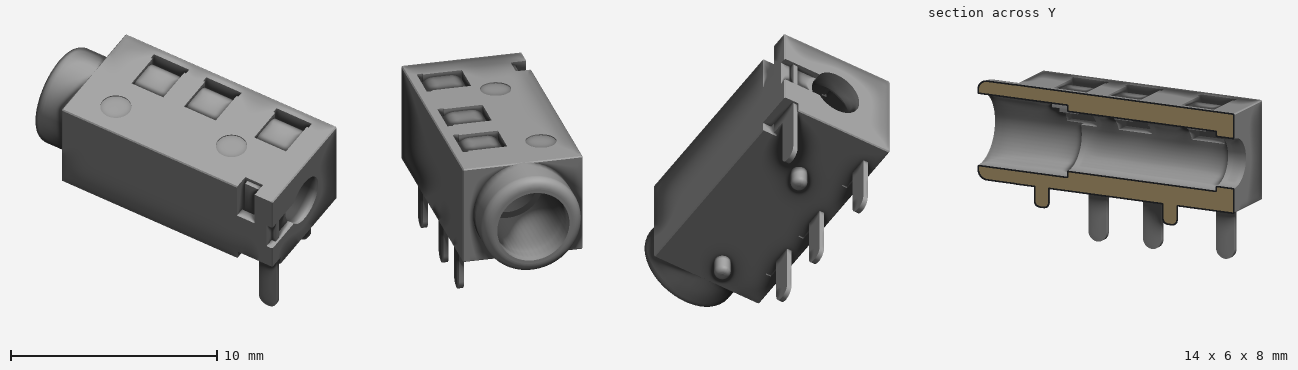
import cadquery as cq


total_length = 14.0
total_height = 8.0
body_start = 2.0
body_width = 6.0
body_height = 5.0
edge_chamfer = 0.05
body_bottom = -body_height / 2
body_top = body_height / 2
body_side = body_width / 2

nose_radius = 2.49
nose_fillet = 0.5
entry_radius = 1.8
entry_depth = 4.9
bore_radius = 1.5
bore_depth = 13.02
exit_radius = 1.25

peg_positions = (3.49, 10.49)
peg_radius = 0.4
peg_length = 1.0
peg_fillet = 0.3

recess_centres = ((4.16, -1.45), (10.32, -0.78))
recess_radius = 0.75
recess_depth = 0.05

sheet = 0.25
contact_face = 2.45
contact_inner_face = contact_face - sheet
leg_width = 1.0
leg_tip = body_top - total_height

signal_positions = (4.89, 7.87, 11.86)
slot_width = 2.0
slot_outer = 2.52
slot_inner = 2.23
window_width = 1.8
window_end = 0.28
pocket_floor = 0.5
plate_width = 1.93
arch_end = 0.14
arch_top = 2.3
arch_radius = 0.73
tongue_tip = 1.39
tongue_width = leg_width

ground_left = 12.11
ground_right = 13.89
ground_top = 2.31
ground_slot_left = 11.98
side_window_width = 1.01
side_window_floor = 0.5
foot_cutout_height = 0.5
rear_notch_depth = 0.34
rear_notch_height = 1.44


def block(x, y, z):
    """Box given by its (low, high) limits along each axis."""
    return (
        cq.Workplane("XY")
        .box(x[1] - x[0], y[1] - y[0], z[1] - z[0], centered=False)
        .translate((x[0], y[0], z[0]))
    )


def cylinder_along_x(radius, start, end):
    return cq.Workplane("YZ", origin=(start, 0, 0)).circle(radius).extrude(end - start)


def solder_leg(right, outer_face):
    """Leg with a full-round tip, hanging from the bottom plane of the housing."""
    left = right - leg_width
    round_start = leg_tip + leg_width / 2
    return (
        cq.Workplane("XZ", origin=(0, outer_face, 0))
        .moveTo(left, body_bottom)
        .lineTo(left, round_start)
        .threePointArc((right - leg_width / 2, leg_tip), (right, round_start))
        .lineTo(right, body_bottom)
        .close()
        .extrude(sheet)
    )


def signal_contact(centre):
    """Upright plate with a leg below and an arch over the bore ending in a tongue."""
    plate_right = centre + slot_width / 2
    arch_start = arch_top - arch_radius
    bend = (
        cq.Workplane("YZ", origin=(plate_right - plate_width, 0, 0))
        .moveTo(contact_face, body_bottom)
        .lineTo(contact_face, arch_start)
        .radiusArc((contact_face - arch_radius, arch_top), -arch_radius)
        .lineTo(arch_end + arch_radius, arch_top)
        .radiusArc((arch_end, arch_start), -arch_radius)
        .lineTo(arch_end + sheet, arch_start)
        .radiusArc((arch_end + arch_radius, arch_top - sheet), arch_radius - sheet)
        .lineTo(contact_face - arch_radius, arch_top - sheet)
        .radiusArc((contact_inner_face, arch_start), arch_radius - sheet)
        .lineTo(contact_inner_face, body_bottom)
        .close()
        .extrude(plate_width)
    )
    wide_zone = block(
        (plate_right - plate_width, plate_right),
        (slot_inner, contact_face),
        (body_bottom, arch_top),
    )
    narrow_zone = block(
        (centre - window_width / 2, centre + window_width / 2),
        (arch_end, slot_inner),
        (body_bottom, arch_top),
    )
    strip = bend.intersect(wide_zone.union(narrow_zone))
    tongue = block(
        (centre - tongue_width / 2, centre + tongue_width / 2),
        (arch_end, arch_end + sheet),
        (tongue_tip, arch_start),
    )
    return strip.union(tongue).union(solder_leg(plate_right, contact_face))


def ground_contact():
    """Flat plate in the opposite side wall with a leg at its rear end."""
    plate = block(
        (ground_left, ground_right),
        (-contact_face, -contact_inner_face),
        (body_bottom, ground_top),
    )
    return plate.union(solder_leg(ground_right, -contact_inner_face))


def housing_shell():
    """Block with the rounded nose and the stepped bore."""
    shell = block(
        (body_start, total_length), (-body_side, body_side), (body_bottom, body_top)
    ).edges().chamfer(edge_chamfer)
    sharp_corner = block(
        (ground_slot_left + side_window_width, total_length - edge_chamfer),
        (-body_side, -contact_face),
        (side_window_floor, body_top),
    )
    shell = shell.union(sharp_corner)
    nose = cylinder_along_x(nose_radius, 0, body_start + edge_chamfer)
    nose = nose.faces("<X").edges().fillet(nose_fillet)
    shell = shell.union(nose)
    shell = shell.cut(cylinder_along_x(entry_radius, 0, entry_depth))
    shell = shell.cut(cylinder_along_x(bore_radius, entry_depth, bore_depth))
    return shell.cut(cylinder_along_x(exit_radius, bore_depth, total_length))


def locating_peg(x):
    return (
        cq.Workplane("XY", origin=(x, 0, body_bottom))
        .circle(peg_radius)
        .extrude(-peg_length)
        .faces("<Z")
        .edges()
        .fillet(peg_fillet)
    )


def signal_opening(centre):
    """Full-height slot for the plate and a pocket under the window for the arch."""
    slot = block(
        (centre - slot_width / 2, centre + slot_width / 2),
        (slot_inner, slot_outer),
        (body_bottom, body_top),
    )
    pocket = block(
        (centre - window_width / 2, centre + window_width / 2),
        (window_end, slot_inner),
        (pocket_floor, body_top),
    )
    return slot.union(pocket)


def ground_opening():
    """Plate slot, side window, foot cutout and rear notch around the ground contact."""
    slot = block(
        (ground_slot_left, ground_right), (-slot_outer, -slot_inner), (body_bottom, ground_top)
    )
    side_window = block(
        (ground_slot_left, ground_slot_left + side_window_width),
        (-body_side, -slot_outer),
        (side_window_floor, body_top),
    )
    slot_mouth = block(
        (ground_slot_left, ground_slot_left + side_window_width),
        (-slot_outer, -slot_inner),
        (ground_top, body_top),
    )
    foot_cutout = block(
        (ground_slot_left, total_length),
        (-body_side, -slot_inner),
        (body_bottom, body_bottom + foot_cutout_height),
    )
    rear_notch = block(
        (total_length - rear_notch_depth, total_length),
        (-body_side, 0),
        (-rear_notch_height / 2, rear_notch_height / 2),
    )
    return slot.union(side_window).union(slot_mouth).union(foot_cutout).union(rear_notch)


def make_housing(contacts):
    housing = housing_shell()
    for x in peg_positions:
        housing = housing.union(locating_peg(x))
    for x, y in recess_centres:
        recess = cq.Workplane("XY", origin=(x, y, body_top)).circle(recess_radius).extrude(-recess_depth)
        housing = housing.cut(recess)
    for centre in signal_positions:
        housing = housing.cut(signal_opening(centre))
    housing = housing.cut(ground_opening())
    for contact in contacts:
        housing = housing.cut(contact)
    return housing


signal_contacts = [signal_contact(centre) for centre in signal_positions]
ground = ground_contact()
housing = make_housing(signal_contacts + [ground])

result = cq.Compound.makeCompound(
    [
        housing.solids().val(),
        *[contact.solids().val() for contact in signal_contacts],
        ground.solids().val(),
    ]
)